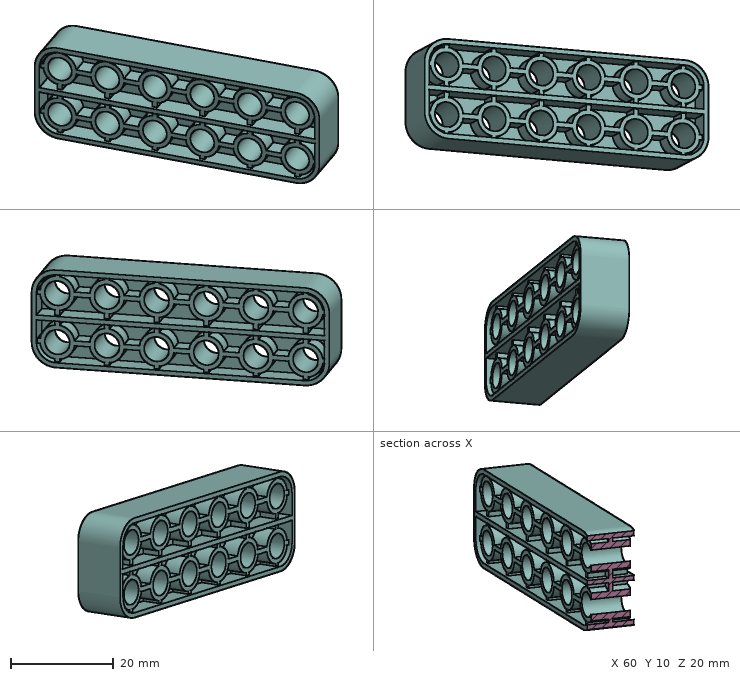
import cadquery as cq

LENGTH = 60.0
DEPTH = 10.0
HEIGHT = 20.0
CORNER_RADIUS = 5.0

PITCH = 10.0
COLUMNS = 6
ROWS = 2
HOLE_DIAMETER = 5.0

WALL = 1.0
TUBE_DIAMETER = HOLE_DIAMETER + 2 * WALL
RECESS = 0.8

POCKET_DEPTH = (DEPTH - WALL) / 2
FRONT_Y = -DEPTH / 2
FLOOR_Y = FRONT_Y + POCKET_DEPTH
LATTICE_Y = FRONT_Y + RECESS
INNER_LENGTH = LENGTH - 2 * WALL
INNER_HEIGHT = HEIGHT - 2 * WALL

COLUMN_X = [(column - (COLUMNS - 1) / 2) * PITCH for column in range(COLUMNS)]
ROW_Z = [(row - (ROWS - 1) / 2) * PITCH for row in range(ROWS)]
HOLE_CENTRES = [(x, z) for x in COLUMN_X for z in ROW_Z]


def plane_at(y):
    """XZ workplane at the given Y; a negative extrusion runs toward +Y."""
    return cq.Workplane("XZ", origin=(0, y, 0))


def rounded_block(length, height, radius, start_y, end_y):
    """Block between two Y positions with its four Y edges rounded."""
    block = plane_at(start_y).rect(length, height).extrude(start_y - end_y)
    return block.edges("|Y").fillet(radius)


def cylinders(diameter, start_y, end_y):
    """One cylinder along Y at every hole centre."""
    return plane_at(start_y).pushPoints(HOLE_CENTRES).circle(diameter / 2).extrude(start_y - end_y)


def bar(length, height, start_y, x=0.0, z=0.0):
    """Rectangular bar standing on the pocket floor and ending at start_y."""
    return plane_at(start_y).center(x, z).rect(length, height).extrude(start_y - FLOOR_Y)


def tubes_and_ribs():
    """Tubes around the holes, tied together and to the walls by crossing ribs."""
    lattice = cylinders(TUBE_DIAMETER, LATTICE_Y, FLOOR_Y)
    for z in ROW_Z:
        lattice = lattice.union(bar(INNER_LENGTH, WALL, LATTICE_Y, z=z))
    for x in COLUMN_X:
        lattice = lattice.union(bar(WALL, INNER_HEIGHT, LATTICE_Y, x=x))
    return lattice


def front_half():
    """Half of the part from the -Y face to the middle of the floor."""
    block = rounded_block(LENGTH, HEIGHT, CORNER_RADIUS, FRONT_Y, 0)
    pocket = rounded_block(INNER_LENGTH, INNER_HEIGHT, CORNER_RADIUS - WALL, FRONT_Y, FLOOR_Y)
    central_web = bar(INNER_LENGTH, WALL, FRONT_Y)
    holes = cylinders(HOLE_DIAMETER, FRONT_Y, 0)
    return block.cut(pocket).union(central_web).union(tubes_and_ribs()).cut(holes)


half = front_half()
result = half.union(half.mirror("XZ")).clean()